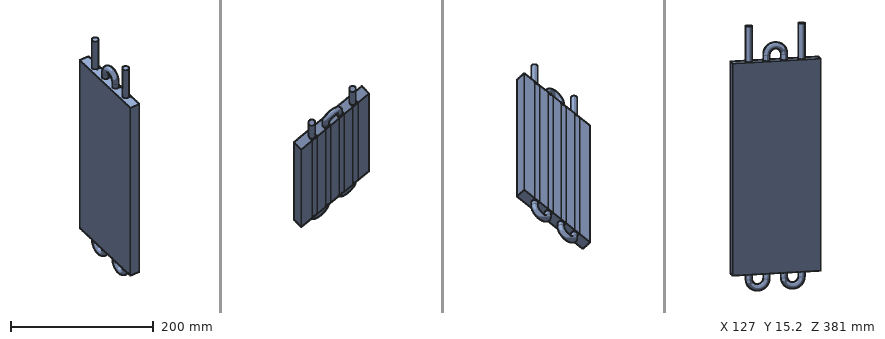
import cadquery as cq

OVERALL_HEIGHT = 381.0
PLATE_WIDTH = 127.0
PLATE_THICKNESS = 15.2
PLATE_HEIGHT = 304.8
TUBE_DIAMETER = 9.5
TUBE_DEPTH = 6.0
LEAD_LENGTH = 50.5
RUN_COUNT = 4

TUBE_RADIUS = TUBE_DIAMETER / 2
RUN_PITCH = PLATE_WIDTH / 5
BEND_RADIUS = RUN_PITCH / 2
BEND_REACH = OVERALL_HEIGHT - PLATE_HEIGHT - LEAD_LENGTH
STUB_LENGTH = BEND_REACH - BEND_RADIUS - TUBE_RADIUS

PLATE_TOP = PLATE_HEIGHT / 2
BACK_Y = PLATE_THICKNESS / 2
TUBE_Y = BACK_Y - TUBE_DEPTH
LEAD_TOP = PLATE_TOP + LEAD_LENGTH
BEND_START = PLATE_TOP + STUB_LENGTH
RUN_XS = [(i - (RUN_COUNT - 1) / 2) * RUN_PITCH for i in range(RUN_COUNT)]


def plate_length_rod(x):
    """Round bar along one tube run, as long as the plate."""
    return cq.Workplane("XY", origin=(x, TUBE_Y, -PLATE_TOP)).circle(TUBE_RADIUS).extrude(PLATE_HEIGHT)


def back_slot(x):
    """Straight-sided slot from the tube axis out to the back face."""
    return cq.Workplane("XY").box(TUBE_DIAMETER, TUBE_DEPTH, PLATE_HEIGHT).translate(
        (x, BACK_Y - TUBE_DEPTH / 2, 0)
    )


def make_plate():
    """Plate with a round-bottomed channel, open at the back, for each tube run."""
    plate = cq.Workplane("XY").box(PLATE_WIDTH, PLATE_THICKNESS, PLATE_HEIGHT)
    for x in RUN_XS:
        plate = plate.cut(plate_length_rod(x)).cut(back_slot(x))
    return plate


def make_filler(x):
    """Filler behind one tube run, flush with the back and ends of the plate."""
    return back_slot(x).cut(plate_length_rod(x))


def make_tube():
    """One serpentine round bar: straight runs joined by half-circle bends."""
    path = cq.Workplane("XZ", origin=(0, TUBE_Y, 0)).moveTo(RUN_XS[0], LEAD_TOP)
    end_side = -1
    for x, next_x in zip(RUN_XS, RUN_XS[1:]):
        bend_z = end_side * BEND_START
        bend_peak = (x + BEND_RADIUS, bend_z + end_side * BEND_RADIUS)
        path = path.lineTo(x, bend_z).threePointArc(bend_peak, (next_x, bend_z))
        end_side = -end_side
    path = path.lineTo(RUN_XS[-1], LEAD_TOP)
    profile = cq.Workplane("XY", origin=(RUN_XS[0], TUBE_Y, LEAD_TOP)).circle(TUBE_RADIUS)
    return profile.sweep(path)


plate = make_plate()
tube = make_tube()
fillers = [make_filler(x) for x in RUN_XS]

result = cq.Compound.makeCompound([plate.val(), tube.val(), *[filler.val() for filler in fillers]])